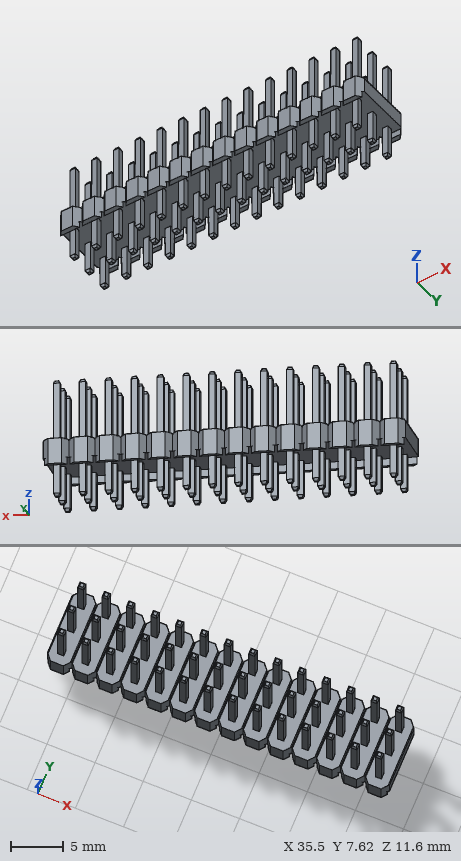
import cadquery as cq

columns = 14
rows = 3
body_length = 35.55
pitch = body_length / columns
body_width = rows * pitch
body_height = pitch

corner_x = 0.6
corner_y = 0.7

top_bevel = 0.1

channel_depth = 0.7
skirt_thickness = 0.55

pin_side = 0.65
pin_above = 6.08
pin_below = 3.0
tip_length = 0.3
tip_inset = 0.15


def centred_positions(count):
    """Coordinates of evenly pitched positions, symmetric about zero."""
    return [(i - (count - 1) / 2) * pitch for i in range(count)]


def make_segment():
    """One eight-sided housing segment with its underside on Z = 0."""
    half_x = pitch / 2
    half_y = body_width / 2
    flat_x = half_x - corner_x
    flat_y = half_y - corner_y
    outline = [
        (-flat_x, -half_y),
        (flat_x, -half_y),
        (half_x, -flat_y),
        (half_x, flat_y),
        (flat_x, half_y),
        (-flat_x, half_y),
        (-half_x, flat_y),
        (-half_x, -flat_y),
    ]
    segment = cq.Workplane("XY").polyline(outline).close().extrude(body_height)
    bevelled = segment.faces("<X or >X").edges(">Z").chamfer(top_bevel)
    channel_width = body_width - 2 * skirt_thickness
    channel = cq.Workplane("XY").box(pitch, channel_width, channel_depth, centered=(True, True, False))
    return bevelled.cut(channel)


def make_tip(base_z, direction):
    """Tapered pin end, pointing up (direction 1) or down (direction -1)."""
    end_side = pin_side - 2 * tip_inset
    return (
        cq.Workplane("XY", origin=(0, 0, base_z))
        .rect(pin_side, pin_side)
        .workplane(offset=direction * tip_length)
        .rect(end_side, end_side)
        .loft(ruled=True)
    )


def make_pin():
    """Square pin through the housing, tapered at both ends."""
    shank_bottom = -pin_below + tip_length
    shank_top = body_height + pin_above - tip_length
    shank = (
        cq.Workplane("XY", origin=(0, 0, shank_bottom))
        .rect(pin_side, pin_side)
        .extrude(shank_top - shank_bottom)
    )
    return shank.union(make_tip(shank_top, 1)).union(make_tip(shank_bottom, -1))


column = make_segment()
pin = make_pin()
for y in centred_positions(rows):
    column = column.union(pin.translate((0, y, 0)))

result = cq.Workplane("XY")
for x in centred_positions(columns):
    result = result.union(column.translate((x, 0, 0)))